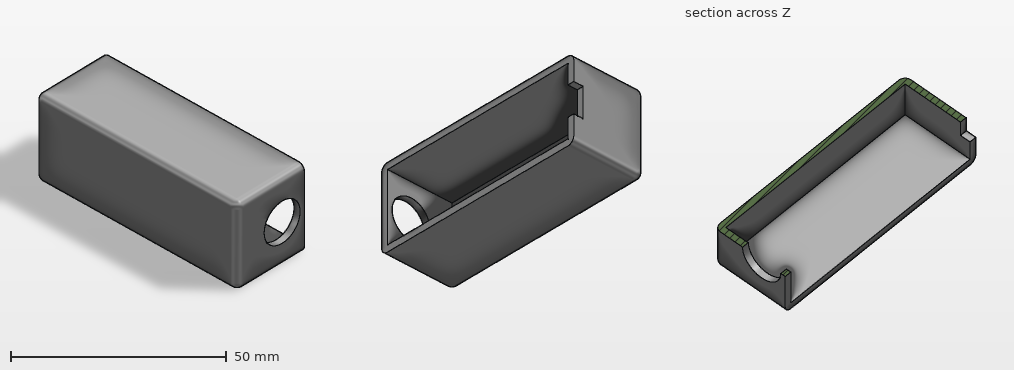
import cadquery as cq

length = 65.0
depth = 22.5
height = 25.0
edge_radius = 2.0
wall = 2.0

notch_width = 9.0
notch_depth = 3.0

hole_diameter = 12.0
hole_to_rim = 1.5
hole_y = depth - hole_to_rim - hole_diameter / 2


def rounded_box():
    """Solid block with every edge rounded except those of the +Y face."""
    block = cq.Workplane("XY").box(length, depth, height, centered=(True, False, True))
    return block.edges("not(>Y)").fillet(edge_radius)


def cavity():
    """Inside space, running from the closed wall out through the rim."""
    inside = cq.Workplane("XY").box(
        length - 2 * wall, depth - wall, height - 2 * wall, centered=(True, False, True)
    )
    return inside.translate((0, wall, 0))


def rim_notch():
    """Rectangular cut through the -X wall, open at the rim."""
    cut = cq.Workplane("XY").box(wall, notch_depth, notch_width, centered=(False, False, True))
    return cut.translate((-length / 2, depth - notch_depth, 0))


def wall_hole():
    """Round cut through the +X wall, centred in Z."""
    plane = cq.Workplane("YZ", origin=(length / 2 - wall, 0, 0))
    return plane.center(hole_y, 0).circle(hole_diameter / 2).extrude(wall)


result = rounded_box().cut(cavity()).cut(rim_notch()).cut(wall_hole())